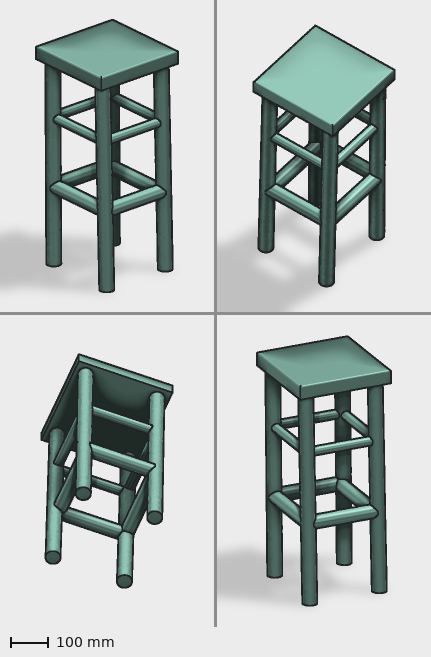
import cadquery as cq

height = 635.0
seat_width = 267.0
seat_thickness = 38.0
seat_edge_radius = 5.0
seat_bottom = height - seat_thickness

leg_diameter = 40.5
leg_top_offset = 101.5
foot_x = 108.0
front_foot_y = -93.0
back_foot_y = 110.5

upper_rung_height = 430.0
upper_rung_diameter = 25.5
lower_rung_height = 228.5
lower_rung_diameter = 38.0
lower_back_rung_inset = 11.0


def leg_center(side_x, side_y, z):
    """Point on the straight axis of the leg at the given corner (signs of X and Y)."""
    rise = z / seat_bottom
    foot_y = front_foot_y if side_y < 0 else back_foot_y
    x = side_x * (foot_x + (leg_top_offset - foot_x) * rise)
    y = foot_y + (side_y * leg_top_offset - foot_y) * rise
    return cq.Vector(x, y, z)


def make_seat():
    seat = cq.Workplane("XY", origin=(0, 0, seat_bottom))
    seat = seat.rect(seat_width, seat_width).extrude(seat_thickness)
    return seat.faces(">Z").edges().fillet(seat_edge_radius)


def make_leg(side_x, side_y):
    """Leaning leg with level ends."""
    ends = [
        cq.Wire.makeCircle(leg_diameter / 2, leg_center(side_x, side_y, z), cq.Vector(0, 0, 1))
        for z in (0, seat_bottom)
    ]
    return cq.Workplane(cq.Solid.makeLoft(ends, True))


def make_rung(start, end, diameter):
    """Round bar running between two leg axes."""
    span = end - start
    return cq.Workplane(cq.Solid.makeCylinder(diameter / 2, span.Length, start, span))


def make_rung_ring(z, diameter, back_inset=0):
    """Four rungs joining neighbouring legs at one height, the back one moved inward by back_inset."""
    front_left = leg_center(-1, -1, z)
    front_right = leg_center(1, -1, z)
    back_right = leg_center(1, 1, z)
    back_left = leg_center(-1, 1, z)
    inward = cq.Vector(0, -back_inset, 0)
    return [
        make_rung(front_left, front_right, diameter),
        make_rung(front_right, back_right, diameter),
        make_rung(back_right + inward, back_left + inward, diameter),
        make_rung(back_left, front_left, diameter),
    ]


rungs = make_rung_ring(upper_rung_height, upper_rung_diameter)
rungs += make_rung_ring(lower_rung_height, lower_rung_diameter, lower_back_rung_inset)

result = make_seat()
for side_x in (-1, 1):
    for side_y in (-1, 1):
        result = result.union(make_leg(side_x, side_y))
for rung in rungs:
    result = result.union(rung)